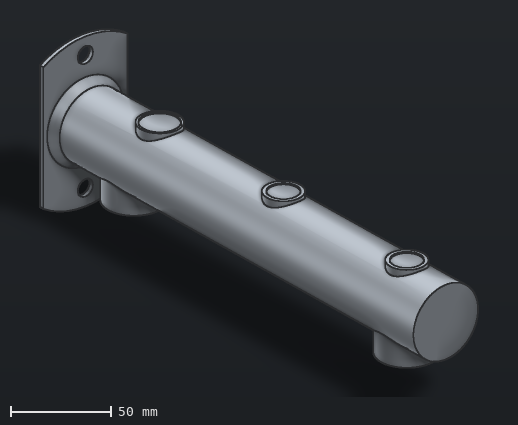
import cadquery as cq

plate_thickness = 2.8
plate_width = 55.0
plate_height = 96.0
plate_side_height = 80.0
plate_hole_diameter = 9.8
plate_hole_offset = 37.5

length = 280.0
tube_diameter = 42.3
weld_length = 5.0
weld_height = 4.0

upper_sockets = [(60.0, 24.0, 21.3), (155.0, 21.5, 17.0), (250.0, 21.5, 17.0)]
socket_top = 23.0
recess_depth = 0.8

stub_diameter = 33.5
stub_positions = [40.0, 250.0]
stub_reach = 29.0


def end_plate():
    half_width = plate_width / 2
    half_height = plate_height / 2
    half_side = plate_side_height / 2
    return (
        cq.Workplane("YZ")
        .moveTo(-half_width, -half_side)
        .threePointArc((0, -half_height), (half_width, -half_side))
        .lineTo(half_width, half_side)
        .threePointArc((0, half_height), (-half_width, half_side))
        .close()
        .pushPoints([(0, -plate_hole_offset), (0, plate_hole_offset)])
        .circle(plate_hole_diameter / 2)
        .extrude(plate_thickness)
    )


def tube_with_weld():
    radius = tube_diameter / 2
    weld_end = plate_thickness + weld_length
    return (
        cq.Workplane("XY")
        .moveTo(plate_thickness, 0)
        .lineTo(plate_thickness, radius + weld_height)
        .lineTo(weld_end, radius)
        .lineTo(length, radius)
        .lineTo(length, 0)
        .close()
        .revolve(360, (0, 0, 0), (1, 0, 0))
    )


def vertical_cylinder(x, diameter, z_start, height):
    return cq.Workplane("XY", origin=(x, 0, z_start)).circle(diameter / 2).extrude(height)


result = end_plate().union(tube_with_weld())

for x in stub_positions:
    result = result.union(vertical_cylinder(x, stub_diameter, 0, -stub_reach))

for x, outer_diameter, recess_diameter in upper_sockets:
    result = result.union(vertical_cylinder(x, outer_diameter, 0, socket_top))
    result = result.cut(vertical_cylinder(x, recess_diameter, socket_top, -recess_depth))